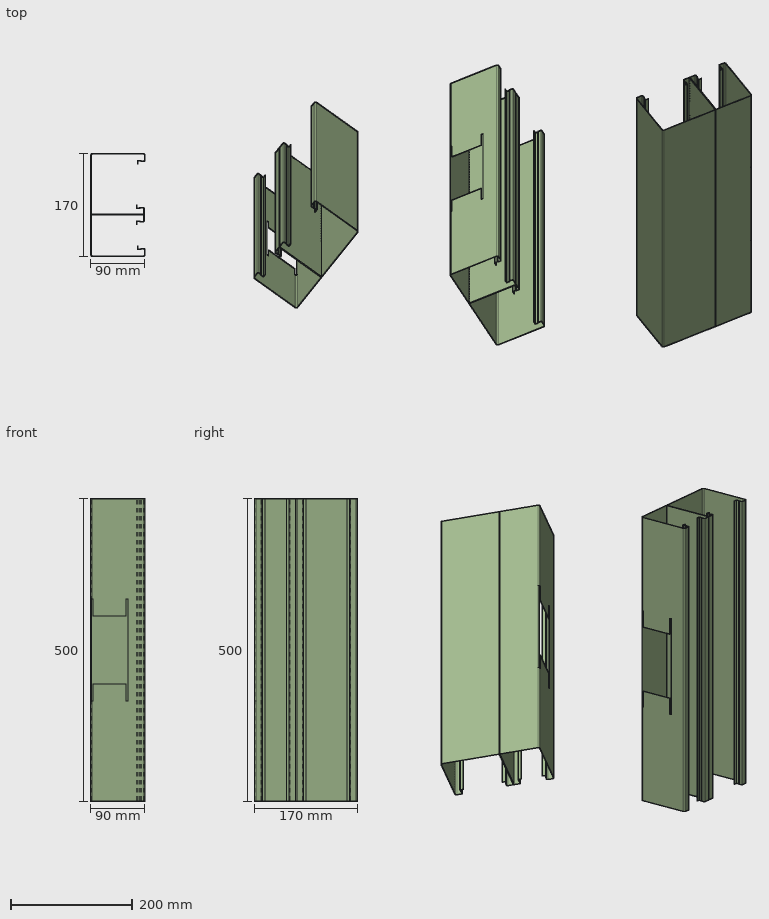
import cadquery as cq
import math

length = 500.0
depth = 90.0
height = 170.0
wall = 1.0
corner_radius = 3.0
rim_radius = 2.0

jog_start = 6.5
jog_end = 8.0
jog_height = 0.8
lip_setback = 11.8
lip_reach = 4.2

rim_height = 13.0

web_y = -16.0
web_thickness = 1.8
head_x = 88.5
head_height = 24.3

window_start = 1.0
window_end = 61.7
window_height = 113.0
slot_width = 3.0
slot_length = 169.0


def rim(front_x, face_y, lip_side):
    """Outer line of a rim from the lip's free end to the front face; lip_side is +1 or -1 along Y."""
    lip_x = front_x - lip_setback
    jog_y = face_y - lip_side * jog_height
    return [
        (lip_x, face_y + lip_side * lip_reach),
        (lip_x, jog_y),
        (front_x - jog_end, jog_y),
        (front_x - jog_start, face_y),
        (front_x, face_y),
    ]


def bent_sheet(path):
    """Full-length bent sheet with one face on the path and its thickness to the left of it."""
    headings = [math.atan2(b[1] - a[1], b[0] - a[0]) for a, b in zip(path, path[1:])]
    arriving = headings[:1] + headings
    leaving = headings + headings[-1:]
    offset_path = []
    for (x, y), before, after in zip(path, arriving, leaving):
        half_turn = math.remainder(after - before, math.tau) / 2
        normal = before + half_turn + math.pi / 2
        miter = wall / math.cos(half_turn)
        offset_path.append((x + miter * math.cos(normal), y + miter * math.sin(normal)))
    return cq.Workplane("XY").polyline(path + offset_path[::-1]).close().extrude(length)


def round_bend(body, x, y, inward_x, inward_y, radius):
    """Round one right-angle bend; inward_x and inward_y point from its outer edge to its inner edge."""
    for inset, edge_radius in ((0, radius), (wall, radius - wall)):
        point = (x + inward_x * inset, y + inward_y * inset, length / 2)
        body = body.edges("|Z").edges(cq.selectors.NearestToPointSelector(point)).fillet(edge_radius)
    return body


def make_housing():
    side_y = height / 2
    flange_y = side_y - rim_height
    upper = rim(depth, flange_y, -1) + [(depth, side_y), (0, side_y)]
    lower = [(x, -y) for x, y in reversed(upper)]
    body = bent_sheet(upper + lower)
    for side in (1, -1):
        body = round_bend(body, 0, side * side_y, 1, -side, corner_radius)
        body = round_bend(body, depth, side * side_y, -1, -side, corner_radius)
        body = round_bend(body, depth, side * flange_y, -1, side, rim_radius)
    return body.cut(make_knockout())


def make_knockout():
    """Cutter for the window and the two longer slots along its edges."""
    def block(start_x, end_x, block_height):
        return (
            cq.Workplane("XY")
            .box(end_x - start_x, corner_radius, block_height, centered=(False, False, True))
            .translate((start_x, -height / 2, length / 2))
        )

    window = block(window_start, window_end, window_height)
    first_slot = block(window_start, window_start + slot_width, slot_length)
    second_slot = block(window_end - slot_width, window_end, slot_length)
    return window.union(first_slot).union(second_slot)


def make_divider():
    flange_y = head_height / 2
    upper = rim(head_x, flange_y, 1)
    lower = rim(head_x, -flange_y, -1)
    head = bent_sheet(lower + upper[::-1])
    for side in (1, -1):
        head = round_bend(head, head_x, side * flange_y, -1, -side, rim_radius)
    web = (
        cq.Workplane("XY")
        .box(head_x - 2 * wall, web_thickness, length, centered=(False, True, False))
        .translate((wall, 0, 0))
    )
    return head.union(web).translate((0, web_y, 0))


housing = make_housing()
divider = make_divider()
result = cq.Compound.makeCompound([housing.val(), divider.val()])